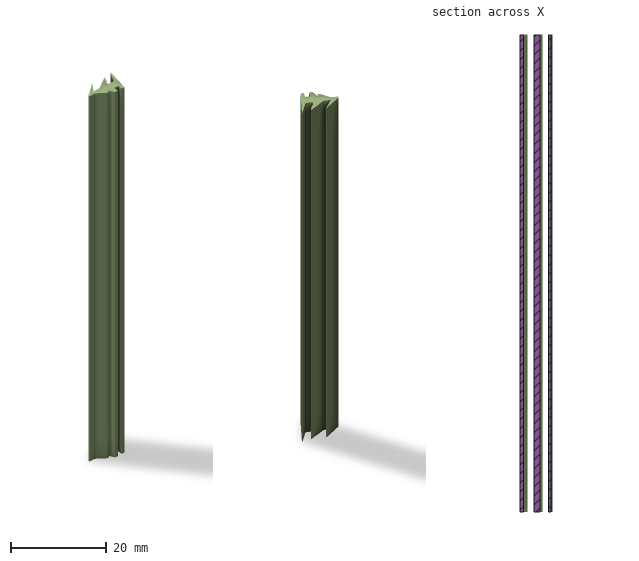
import cadquery as cq

width = 5.59
depth = 8.32
length = 100.0

left = -width / 2
right = width / 2
back = depth / 2
front = -depth / 2

web_left = -0.15
web_right = 1.65

back_face_drop = 0.72
back_lip_tip_thickness = 0.1
back_lip_root_y = 2.92

lip_tip_x = -2.27
middle_tip_y = 2.13
middle_tip_thickness = 0.1
middle_knee_x = -1.25
middle_knee_y = 1.85
middle_root_x = -0.85
middle_root_y = 1.4
middle_front_y = -0.95

front_tip_y = -1.08
front_tip_thickness = 0.17
front_root_y = -2.5

nose_left = 0.25
nose_right = 0.56
neck_y = -2.65

slot_back_y = 2.7
slot_front_y = 1.65
front_flange_thickness = 0.8

barb_notch_x = 1.35
barb_notch_y = 0.05
barb_tip_x = 1.95
barb_back_y = -0.05
barb_front_y = -0.6


def left_side():
    """Points of the three lips, from the back lip to the nose."""
    back_lip = [
        (left, back),
        (left, back - back_lip_tip_thickness),
        (web_left, back_lip_root_y),
    ]
    middle_lip = [
        (web_left, middle_root_y),
        (middle_root_x, middle_root_y),
        (middle_knee_x, middle_knee_y),
        (lip_tip_x, middle_tip_y),
        (lip_tip_x, middle_tip_y - middle_tip_thickness),
        (web_left, middle_front_y),
    ]
    front_lip = [
        (web_left, front_root_y),
        (lip_tip_x, front_tip_y),
        (lip_tip_x, front_tip_y - front_tip_thickness),
        (nose_left, front),
    ]
    return back_lip + middle_lip + front_lip


def right_side():
    """Points of the nose, the barb and the two flanges, from front to back."""
    barb = [
        (nose_right, front),
        (nose_right, neck_y),
        (barb_tip_x, barb_front_y),
        (barb_tip_x, barb_back_y),
        (barb_notch_x, barb_notch_y),
    ]
    front_flange = [
        (right, slot_front_y - front_flange_thickness),
        (right, slot_front_y),
        (web_right, slot_front_y),
    ]
    back_flange = [
        (web_right, slot_back_y),
        (right, slot_back_y),
        (right, back - back_face_drop),
    ]
    return barb + front_flange + back_flange


result = cq.Workplane("XY").polyline(left_side() + right_side()).close().extrude(length)